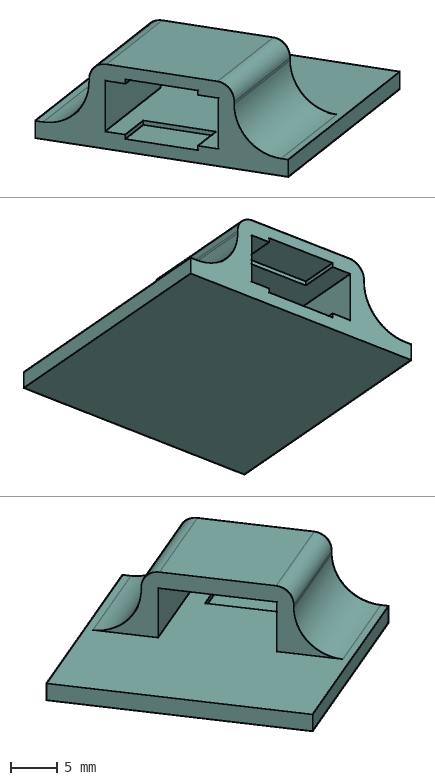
import cadquery as cq

plate_size = 30.0
plate_thickness = 2.0

total_height = 9.8
sleeve_length = plate_size / 2
sleeve_width = 17.2
shoulder_radius = 2.0
flare_radius = 5.5

passage_width = 13.4
passage_height = 5.88

recess_width = 8.6
recess_depth = 0.5
recess_length = 4.83


def front_box(width, length, bottom, height):
    """Box centred on X that runs back from the front face."""
    return cq.Workplane("XY").box(width, length, height, centered=(True, False, False)).translate((0, 0, bottom))


def make_sleeve():
    """Sleeve with rounded shoulders and concave flares meeting the plate."""
    half_width = sleeve_width / 2
    foot = half_width + flare_radius
    flare_top = plate_thickness + flare_radius
    shoulder_bottom = total_height - shoulder_radius
    half_top = half_width - shoulder_radius
    return (
        cq.Workplane("XZ")
        .moveTo(-foot, 0)
        .lineTo(-foot, plate_thickness)
        .radiusArc((-half_width, flare_top), -flare_radius)
        .lineTo(-half_width, shoulder_bottom)
        .radiusArc((-half_top, total_height), shoulder_radius)
        .lineTo(half_top, total_height)
        .radiusArc((half_width, shoulder_bottom), shoulder_radius)
        .lineTo(half_width, flare_top)
        .radiusArc((foot, plate_thickness), -flare_radius)
        .lineTo(foot, 0)
        .close()
        .extrude(-sleeve_length)
    )


plate = front_box(plate_size, plate_size, 0, plate_thickness)
passage = front_box(passage_width, sleeve_length, plate_thickness, passage_height)

recesses = front_box(
    recess_width,
    recess_length,
    plate_thickness - recess_depth,
    passage_height + 2 * recess_depth,
)

result = plate.union(make_sleeve()).cut(passage).cut(recesses)